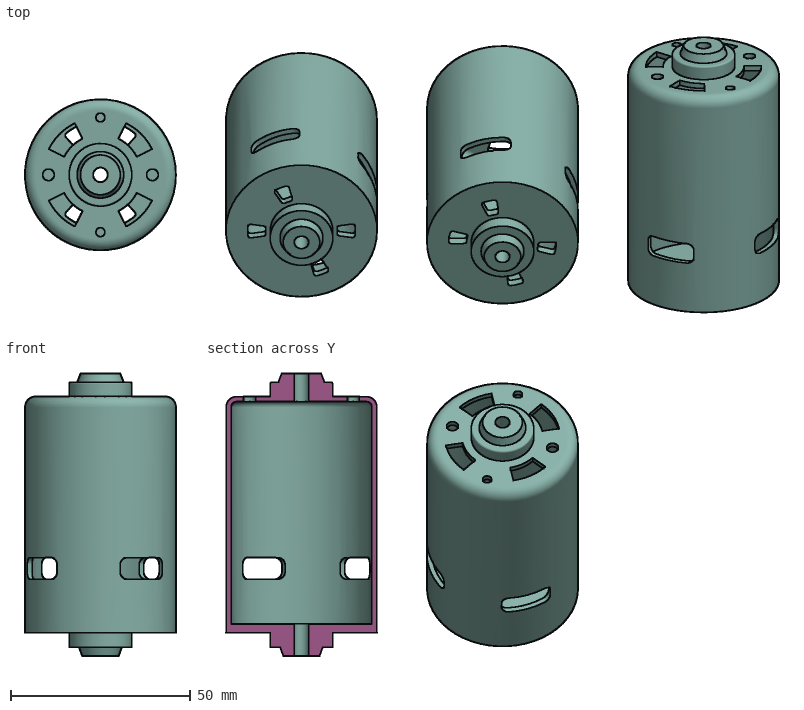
import cadquery as cq
import math

can_diameter = 42.2
wall = 1.5
can_inner_diameter = can_diameter - 2 * wall
can_height = 66.0
shoulder_radius = 3.0
floor_thickness = 2.5

hub_diameter = 17.5
hub_edge_radius = 0.5
top_hub_height = 4.0
bottom_hub_height = 4.0
top_bushing_height = 2.4
bottom_bushing_height = 2.5
top_bushing_base_diameter = 13.0
top_bushing_tip_diameter = 11.1
bottom_bushing_base_diameter = 12.0
bottom_bushing_tip_diameter = 10.2
bore_diameter = 4.0

screw_hole_diameter = 3.24
screw_hole_offset = 14.5
pin_hole_diameter = 2.5
pin_hole_offset = 16.0

quarter_turn = 90
cap_slot_count = 4
cap_slot_inner_radius = 11.3
cap_slot_outer_radius = 16.1
cap_slot_start = 26.5
cap_slot_end = quarter_turn - cap_slot_start
floor_slot_inner_radius = 10.0
floor_slot_outer_radius = 15.0
floor_slot_start = 47.5
floor_slot_end = 65.0
floor_slot_corner_radius = 0.8

window_count = 4
window_width = 14.4
window_height = 6.0
window_bottom = 15.0
window_corner_radius = 2.0
window_angle = 35.0


def disc(diameter, bottom, height):
    """Upright cylinder centred on the motor axis."""
    return cq.Workplane("XY").workplane(offset=bottom).circle(diameter / 2).extrude(height)


def polar(radius, angle):
    """XY point at a radius and an angle in degrees."""
    return (radius * math.cos(math.radians(angle)), radius * math.sin(math.radians(angle)))


def sector(inner_radius, outer_radius, start, end, bottom, height):
    """Ring segment between two radii and two angles."""
    middle = (start + end) / 2
    return (
        cq.Workplane("XY")
        .workplane(offset=bottom)
        .moveTo(*polar(inner_radius, start))
        .lineTo(*polar(outer_radius, start))
        .threePointArc(polar(outer_radius, middle), polar(outer_radius, end))
        .lineTo(*polar(inner_radius, end))
        .threePointArc(polar(inner_radius, middle), polar(inner_radius, start))
        .close()
        .extrude(height)
    )


def bushing(base_diameter, tip_diameter, base_z, signed_height):
    """Tapered bushing; a negative height points it downwards."""
    return (
        cq.Workplane("XY")
        .workplane(offset=base_z)
        .circle(base_diameter / 2)
        .workplane(offset=signed_height)
        .circle(tip_diameter / 2)
        .loft()
    )


def make_can():
    shell = disc(can_diameter, 0, can_height).faces(">Z").edges().fillet(shoulder_radius)
    cavity_height = can_height - wall - floor_thickness
    cavity = disc(can_inner_diameter, floor_thickness, cavity_height)
    cavity = cavity.faces(">Z").edges().fillet(shoulder_radius - wall)
    return shell.cut(cavity)


def add_hubs(body):
    top_hub = disc(hub_diameter, can_height, top_hub_height).faces(">Z").edges().fillet(hub_edge_radius)
    bottom_hub = disc(hub_diameter, -bottom_hub_height, bottom_hub_height)
    top_bushing = bushing(
        top_bushing_base_diameter,
        top_bushing_tip_diameter,
        can_height + top_hub_height,
        top_bushing_height,
    )
    bottom_bushing = bushing(
        bottom_bushing_base_diameter,
        bottom_bushing_tip_diameter,
        -bottom_hub_height,
        -bottom_bushing_height,
    )
    return body.union(top_hub).union(bottom_hub).union(top_bushing).union(bottom_bushing)


def cut_bore(body):
    bottom = -bottom_hub_height - bottom_bushing_height
    top = can_height + top_hub_height + top_bushing_height
    return body.cut(disc(bore_diameter, bottom, top - bottom))


def cut_cap_holes(body):
    for side in (-1, 1):
        screw_hole = disc(screw_hole_diameter, can_height - wall, wall)
        pin_hole = disc(pin_hole_diameter, can_height - wall, wall)
        body = body.cut(screw_hole.translate((side * screw_hole_offset, 0, 0)))
        body = body.cut(pin_hole.translate((0, side * pin_hole_offset, 0)))
    return body


def cut_cap_slots(body):
    slot = sector(
        cap_slot_inner_radius, cap_slot_outer_radius, cap_slot_start, cap_slot_end, can_height - wall, wall
    )
    for turn in range(cap_slot_count):
        body = body.cut(slot.rotate((0, 0, 0), (0, 0, 1), turn * quarter_turn))
    return body


def cut_floor_slots(body):
    slot = sector(
        floor_slot_inner_radius, floor_slot_outer_radius, floor_slot_start, floor_slot_end, 0, floor_thickness
    )
    slot = slot.edges("|Z").fillet(floor_slot_corner_radius)
    mirrored = slot.mirror("YZ")
    for half in (slot, mirrored):
        body = body.cut(half).cut(half.mirror("XZ"))
    return body


def cut_windows(body):
    """Rounded rectangular windows, each through one side of the wall; the first is window_angle from -Y."""
    window = (
        cq.Workplane("XZ")
        .center(0, window_bottom + window_height / 2)
        .rect(window_width, window_height)
        .extrude(can_diameter / 2)
        .edges("|Y")
        .fillet(window_corner_radius)
    )
    for index in range(window_count):
        angle = window_angle + index * 360 / window_count
        body = body.cut(window.rotate((0, 0, 0), (0, 0, 1), angle))
    return body


body = make_can()
body = add_hubs(body)
body = cut_bore(body)
body = cut_cap_holes(body)
body = cut_cap_slots(body)
body = cut_floor_slots(body)
result = cut_windows(body)